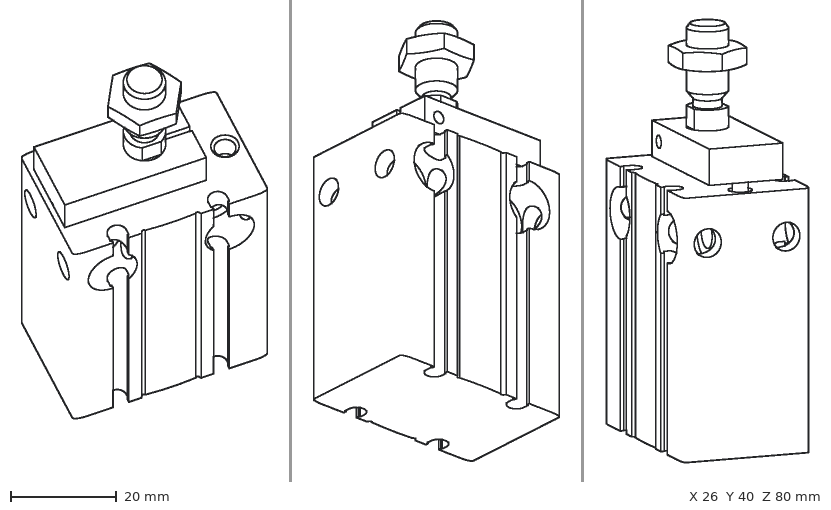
import cadquery as cq
import math


HOUSING_X = 26.0
HOUSING_Y = 40.0
HOUSING_Z = 51.0
HALF_X = HOUSING_X / 2
HALF_Y = HOUSING_Y / 2

EDGE_ARC_START_Y = 17.5
EDGE_ARC_END_Y = 19.4
EDGE_ARC_RADIUS = 7.5
CORNER_END_INSET = 0.8
CORNER_BULGE = 0.1

GROOVE_OUTER_Y = 6.1
GROOVE_WALL_Y = 5.85
GROOVE_INNER_Y = 5.15
GROOVE_SHOULDER_DEPTH = 0.4
GROOVE_DEPTH = 0.6
MIDDLE_FACE_RADIUS = 65.0

SLOT_Y = 10.3
SLOT_DEPTH = 3.75
SLOT_WIDTH = 3.8
SLOT_MOUTH_WIDTH = 3.2
SLOT_LIP = 0.7

MOUNT_HOLE_D = 5.5
MOUNT_HOLE_Z = HOUSING_Z - 9.0
SIDE_HOLE_Y = 12.0
FRONT_HOLE_X = 8.0
COUNTERBORE_D = 10.0
COUNTERBORE_DEPTH = 8.0

PORT_Y = 16.5
PORT_D = 4.13
PORT_MOUTH_D = 5.33
PORT_DEPTH = 5.0
DRILL_POINT_ANGLE = 120.0

PLATE_X = 15.0
PLATE_REAR_Y = 9.5
PLATE_FRONT_Y = -19.5
PLATE_Z = 7.0
PLATE_GAP = 2.0
PLATE_BOTTOM = HOUSING_Z + PLATE_GAP
PLATE_TOP = PLATE_BOTTOM + PLATE_Z
CLAMP_SLIT_WIDTH = 1.0
CLAMP_HOLE_D = 2.46
CLAMP_HOLE_Y = 6.0

GUIDE_ROD_D = 3.0
GUIDE_ROD_Y = -16.5
GUIDE_HOLE_DEPTH = 5.0
GUIDE_HOLE_MOUTH_D = 4.55

ROD_D = 8.0
ROD_TOP = 80.0
ROD_TIP_D = 6.65
ROD_TIP_LENGTH = 0.9
THREAD_START = 67.0
COLLAR_TOP = PLATE_TOP + 4.0
ROD_FLATS_WIDTH = 7.0
NECK_D = 5.5
NECK_TOP = 65.5

NUT_ACROSS_FLATS = 13.0
NUT_THICKNESS = 4.0
NUT_BOTTOM = 71.8
NUT_FACE_D = 11.7
NUT_CORNER_DROP = 0.4


def cylinder(diameter, bottom, top, y=0.0):
    """Upright cylinder between two heights, centred at X = 0 and the given Y."""
    return cq.Workplane("XY", origin=(0, y, bottom)).circle(diameter / 2).extrude(top - bottom)


def housing_blank():
    """Extruded housing without slots or holes, mirrored from one quarter."""
    edge_rise = EDGE_ARC_END_Y - EDGE_ARC_START_Y
    edge_inset = EDGE_ARC_RADIUS - math.sqrt(EDGE_ARC_RADIUS**2 - edge_rise**2)
    edge_end_x = HALF_X - edge_inset
    corner_end_x = HALF_X - CORNER_END_INSET
    shoulder_x = HALF_X - GROOVE_SHOULDER_DEPTH
    bulge = MIDDLE_FACE_RADIUS - math.sqrt(MIDDLE_FACE_RADIUS**2 - GROOVE_INNER_Y**2)
    corner_middle_x = (edge_end_x + corner_end_x) / 2 + CORNER_BULGE
    corner_middle_y = (EDGE_ARC_END_Y + HALF_Y) / 2 + CORNER_BULGE
    groove_middle_y = (GROOVE_WALL_Y + GROOVE_INNER_Y) / 2
    quarter = (
        cq.Workplane("XY")
        .lineTo(shoulder_x + bulge, 0)
        .radiusArc((shoulder_x, GROOVE_INNER_Y), -MIDDLE_FACE_RADIUS)
        .threePointArc((HALF_X - GROOVE_DEPTH, groove_middle_y), (shoulder_x, GROOVE_WALL_Y))
        .lineTo(HALF_X, GROOVE_OUTER_Y)
        .lineTo(HALF_X, EDGE_ARC_START_Y)
        .radiusArc((edge_end_x, EDGE_ARC_END_Y), -EDGE_ARC_RADIUS)
        .threePointArc((corner_middle_x, corner_middle_y), (corner_end_x, HALF_Y))
        .lineTo(0, HALF_Y)
        .close()
        .extrude(HOUSING_Z)
    )
    half = quarter.union(quarter.mirror("XZ"))
    return half.union(half.mirror("YZ")).clean()


def sensor_slot(side, y):
    """Round-bottomed slot behind a narrower mouth; side is -1 or 1 for the -X or +X face."""
    slot_radius = SLOT_WIDTH / 2
    face_x = side * HALF_X
    lip_x = side * (HALF_X - SLOT_LIP)
    arc_x = side * (HALF_X - SLOT_DEPTH + slot_radius)
    bottom_x = side * (HALF_X - SLOT_DEPTH)
    mouth = SLOT_MOUTH_WIDTH / 2
    return (
        cq.Workplane("XY")
        .moveTo(face_x, y - mouth)
        .lineTo(lip_x, y - mouth)
        .lineTo(lip_x, y - slot_radius)
        .lineTo(arc_x, y - slot_radius)
        .threePointArc((bottom_x, y), (arc_x, y + slot_radius))
        .lineTo(lip_x, y + slot_radius)
        .lineTo(lip_x, y + mouth)
        .lineTo(face_x, y + mouth)
        .close()
        .extrude(HOUSING_Z)
    )


def air_port():
    """Port hole with a chamfered mouth and a drill-point bottom, as a turned cutter."""
    radius = PORT_D / 2
    mouth_radius = PORT_MOUTH_D / 2
    point_length = radius / math.tan(math.radians(DRILL_POINT_ANGLE / 2))
    chamfer = mouth_radius - radius
    return (
        cq.Workplane("XZ", origin=(0, PORT_Y, HOUSING_Z))
        .lineTo(mouth_radius, 0)
        .lineTo(radius, -chamfer)
        .lineTo(radius, -PORT_DEPTH)
        .lineTo(0, -PORT_DEPTH - point_length)
        .close()
        .revolve(360, (0, 0), (0, 1))
    )


def guide_hole():
    """Blind hole that fits the guide rod, with a chamfered mouth, as a turned cutter."""
    radius = GUIDE_ROD_D / 2
    mouth_radius = GUIDE_HOLE_MOUTH_D / 2
    chamfer = mouth_radius - radius
    return (
        cq.Workplane("XZ", origin=(0, GUIDE_ROD_Y, HOUSING_Z))
        .lineTo(mouth_radius, 0)
        .lineTo(radius, -chamfer)
        .lineTo(radius, -GUIDE_HOLE_DEPTH)
        .lineTo(0, -GUIDE_HOLE_DEPTH)
        .close()
        .revolve(360, (0, 0), (0, 1))
    )


def make_housing():
    body = housing_blank()
    for side in (-1, 1):
        for y in (-SLOT_Y, SLOT_Y):
            body = body.cut(sensor_slot(side, y))

    side_points = [(-SIDE_HOLE_Y, 0), (SIDE_HOLE_Y, 0)]
    side_plane = cq.Workplane("YZ", origin=(-HALF_X, 0, MOUNT_HOLE_Z))
    body = body.cut(side_plane.pushPoints(side_points).circle(MOUNT_HOLE_D / 2).extrude(HOUSING_X))
    for start_x in (-HALF_X, HALF_X - COUNTERBORE_DEPTH):
        bore_plane = cq.Workplane("YZ", origin=(start_x, 0, MOUNT_HOLE_Z))
        bores = bore_plane.pushPoints(side_points).circle(COUNTERBORE_D / 2).extrude(COUNTERBORE_DEPTH)
        body = body.cut(bores)

    front_plane = cq.Workplane("XZ", origin=(0, HALF_Y, MOUNT_HOLE_Z))
    front_points = [(-FRONT_HOLE_X, 0), (FRONT_HOLE_X, 0)]
    body = body.cut(front_plane.pushPoints(front_points).circle(MOUNT_HOLE_D / 2).extrude(HOUSING_Y))

    return body.cut(air_port()).cut(guide_hole())


def make_guide_plate():
    """Plate bored for the rod, slit from its rear end and cross-drilled into the slit."""
    length = PLATE_REAR_Y - PLATE_FRONT_Y
    middle_y = (PLATE_REAR_Y + PLATE_FRONT_Y) / 2
    middle_z = (PLATE_BOTTOM + PLATE_TOP) / 2
    plate = cq.Workplane("XY", origin=(0, middle_y, middle_z)).box(PLATE_X, length, PLATE_Z)
    slit = (
        cq.Workplane("XY", origin=(0, PLATE_REAR_Y / 2, middle_z))
        .box(CLAMP_SLIT_WIDTH, PLATE_REAR_Y, PLATE_Z)
    )
    clamp_hole = (
        cq.Workplane("YZ", origin=(-PLATE_X / 2, CLAMP_HOLE_Y, middle_z))
        .circle(CLAMP_HOLE_D / 2)
        .extrude(PLATE_X / 2)
    )
    return plate.cut(slit).cut(clamp_hole).cut(cylinder(ROD_D, PLATE_BOTTOM, PLATE_TOP))


def make_guide_rod():
    return cylinder(GUIDE_ROD_D, HOUSING_Z - GUIDE_HOLE_DEPTH, PLATE_BOTTOM, GUIDE_ROD_Y)


def make_piston_rod():
    """Turned rod standing on the housing, with wrench flats above the plate."""
    radius = ROD_D / 2
    neck_radius = NECK_D / 2
    rod = (
        cq.Workplane("XZ")
        .moveTo(0, HOUSING_Z)
        .lineTo(radius, HOUSING_Z)
        .lineTo(radius, COLLAR_TOP)
        .lineTo(neck_radius, COLLAR_TOP)
        .lineTo(neck_radius, NECK_TOP)
        .lineTo(radius, THREAD_START)
        .lineTo(radius, ROD_TOP - ROD_TIP_LENGTH)
        .lineTo(ROD_TIP_D / 2, ROD_TOP)
        .lineTo(0, ROD_TOP)
        .close()
        .revolve(360, (0, 0), (0, 1))
    )
    collar_height = COLLAR_TOP - PLATE_TOP
    collar = cylinder(ROD_D, PLATE_TOP, COLLAR_TOP)
    between_flats = (
        cq.Workplane("XY", origin=(0, 0, PLATE_TOP))
        .rect(ROD_FLATS_WIDTH, ROD_D)
        .extrude(collar_height)
    )
    return rod.cut(collar.cut(between_flats))


def make_nut():
    """Hexagon nut with corners on the Y axis and coned corners on both faces."""
    across_corners = NUT_ACROSS_FLATS / math.cos(math.pi / 6)
    corner_radius = across_corners / 2
    face_radius = NUT_FACE_D / 2
    nut_top = NUT_BOTTOM + NUT_THICKNESS
    hexagon = (
        cq.Workplane("XY", origin=(0, 0, NUT_BOTTOM))
        .transformed(rotate=(0, 0, 90))
        .polygon(6, across_corners)
        .extrude(NUT_THICKNESS)
    )
    coned_blank = (
        cq.Workplane("XZ")
        .moveTo(0, NUT_BOTTOM)
        .lineTo(face_radius, NUT_BOTTOM)
        .lineTo(corner_radius, NUT_BOTTOM + NUT_CORNER_DROP)
        .lineTo(corner_radius, nut_top - NUT_CORNER_DROP)
        .lineTo(face_radius, nut_top)
        .lineTo(0, nut_top)
        .close()
        .revolve(360, (0, 0), (0, 1))
    )
    return hexagon.intersect(coned_blank).cut(cylinder(ROD_D, NUT_BOTTOM, nut_top))


housing = make_housing()
guide_plate = make_guide_plate()
guide_rod = make_guide_rod()
piston_rod = make_piston_rod()
nut = make_nut()

result = cq.Compound.makeCompound(
    [housing.val(), guide_plate.val(), guide_rod.val(), piston_rod.val(), nut.val()]
)